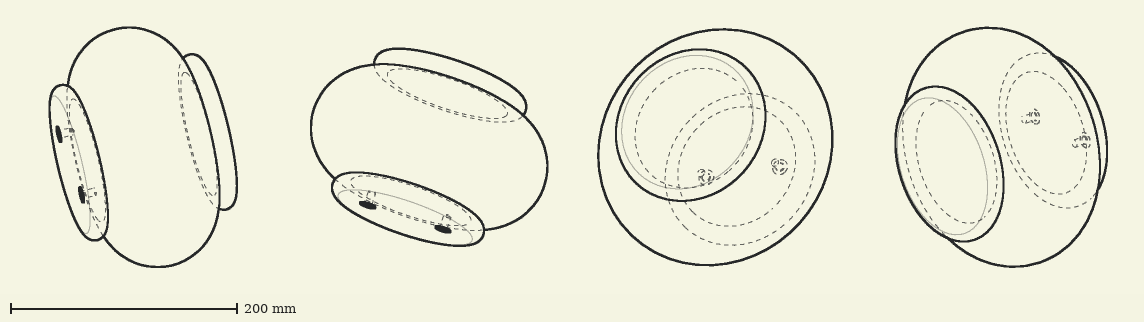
import cadquery as cq
import math

body_diameter = 215.0
overall_length = 135.0
bead_thickness = 16.0
plate_face_diameter = 125.0

hole_spacing = 70.0
spot_face_diameter = 14.0
spot_face_depth = 0.5
hole_diameter = 6.65
hole_mouth_diameter = 8.0
hole_depth = 12.0
drill_point_angle = 120.0

half_length = overall_length / 2
body_half_width = half_length - bead_thickness
body_radius = body_diameter / 2
body_flat_radius = body_radius - body_half_width
bead_tube_radius = bead_thickness / 2
plate_face_radius = plate_face_diameter / 2
bead_outer_radius = plate_face_radius + bead_tube_radius
bead_middle = half_length - bead_tube_radius


def make_spring():
    """Bellows with a round-edged bead disc on each end, as one revolved profile."""
    profile = (
        cq.Workplane("XY")
        .moveTo(0, -half_length)
        .lineTo(plate_face_radius, -half_length)
        .threePointArc((bead_outer_radius, -bead_middle), (plate_face_radius, -body_half_width))
        .lineTo(body_flat_radius, -body_half_width)
        .threePointArc((body_radius, 0), (body_flat_radius, body_half_width))
        .lineTo(plate_face_radius, body_half_width)
        .threePointArc((bead_outer_radius, bead_middle), (plate_face_radius, half_length))
        .lineTo(0, half_length)
        .close()
    )
    return profile.revolve(360, (0, 0, 0), (0, 1, 0))


def make_hole(x):
    """Spot face and blind hole with a chamfered mouth and a drill-point end, to be cut away."""
    hole_radius = hole_diameter / 2
    mouth_radius = hole_mouth_diameter / 2
    mouth_depth = mouth_radius - hole_radius
    point_depth = hole_radius / math.tan(math.radians(drill_point_angle / 2))
    spot_face_radius = spot_face_diameter / 2
    spot_face = -half_length + spot_face_depth
    profile = (
        cq.Workplane("XY")
        .moveTo(x, -half_length)
        .lineTo(x + spot_face_radius, -half_length)
        .lineTo(x + spot_face_radius, spot_face)
        .lineTo(x + mouth_radius, spot_face)
        .lineTo(x + hole_radius, spot_face + mouth_depth)
        .lineTo(x + hole_radius, spot_face + hole_depth)
        .lineTo(x, spot_face + hole_depth + point_depth)
        .close()
    )
    return profile.revolve(360, (x, 0, 0), (x, 1, 0))


result = make_spring()
for x in (-hole_spacing / 2, hole_spacing / 2):
    result = result.cut(make_hole(x))